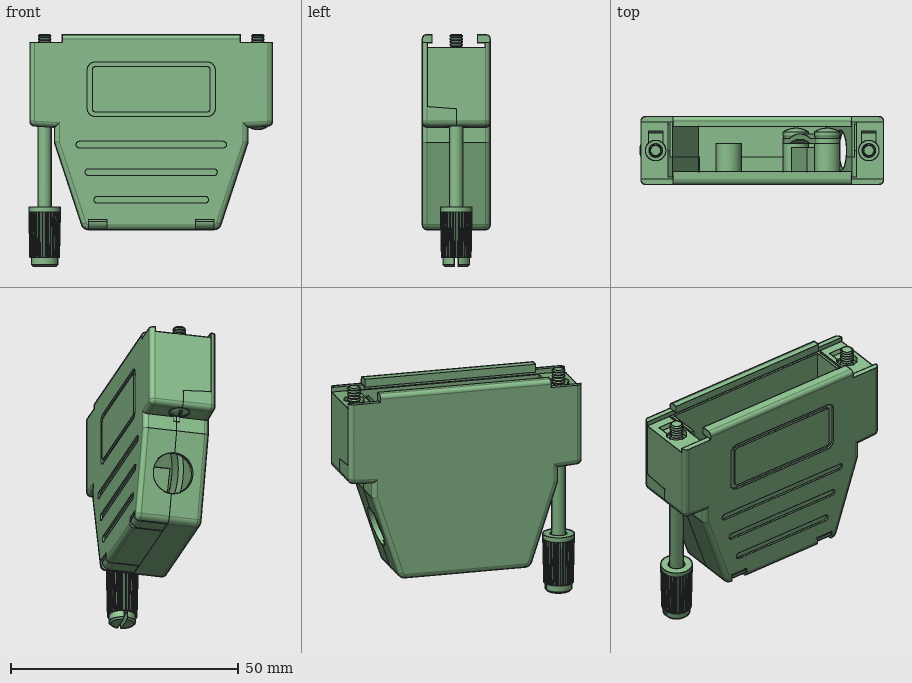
import cadquery as cq
import math


DEPTH = 15.0
FACE_Y = DEPTH / 2
WING_X = 26.75
WING_OUTER_Z = 22.9
WING_INNER_Z = 22.55
NECK_X = 21.3
NECK_Z = 19.2
BASE_X = 15.0
WALL_TOP_Z = 41.25
WING_CORNER_R = 1.2
BASE_CORNER_R = 1.7
RIM_R = 1.1

LIP_TOP_Z = 42.95
LIP_BOTTOM_Z = 41.15
LIP_X = 19.6
LIP_R = 0.95
FRONT_LIP_DEPTH = 2.85
BACK_LIP_DEPTH = 2.2
SEAT_Z = 40.15
SEAT_Y = 6.3

CAVITY_X = 19.75
CAVITY_NECK_Z = 18.8
CAVITY_BASE_X = 14.05
FLOOR_Z = 1.2
SIDE_SLOPE = (CAVITY_X - CAVITY_BASE_X) / (CAVITY_NECK_Z - FLOOR_Z)
CAVITY_Y = 5.8
MOUTH_X = 20.75
MOUTH_Z = 24.7
MOUTH_CHAMFER = MOUTH_X - CAVITY_X

PART_OUTER_Z = 27.1
PART_MIDDLE_Z = 26.65
TONGUE_T = 0.6
TONGUE_DEPTH = 1.4

GROOVE_DEPTH = 0.5
LABEL_Z = 30.95
LABEL_W, LABEL_H, LABEL_R = 28.25, 12.0, 1.75
PANEL_W, PANEL_H, PANEL_R = 25.9, 10.0, 0.65
GRIP_LENGTHS = (33.1, 29.1, 25.25)
GRIP_TOP_Z = 18.75
GRIP_PITCH = 6.05
GRIP_H = 1.5

LATCH_X = 11.75
LATCH_W = 4.05
LATCH_WINDOW_Z = 2.25
LATCH_TOP_Z = 1.8
LATCH_BOTTOM_Z = 0.15
LATCH_FRONT_GAP = 0.25
LATCH_T = 0.9
LATCH_FRONT_Y = LATCH_FRONT_GAP - FACE_Y
LATCH_BACK_Y = LATCH_FRONT_Y + LATCH_T
LATCH_R = 1.6

SCREW_X = 23.45
ROD_R = 1.5
THREAD_R = 1.4
THREAD_ROOT_R = 1.15
THREAD_PITCH = 0.65
THREAD_TURNS = 5
SCREW_TOP_Z = LIP_TOP_Z
COUNTERBORE_R = 2.25
TOP_BORE_DEPTH = 1.35
LOWER_BORE_TOP_Z = 24.15
KEY_W = 3.2
KEY_Y = 4.25
KEY_DEPTH = 0.8
KEY_SLANT = 0.45
HEAD_RIM_Z = 22.9
HEAD_TIP_Z = 22.0
HEAD_SLOT_W = 0.55
HEAD_SLOT_DEPTH = 0.55

KNOB_TOP_Z = 5.05
KNOB_COLLAR_Z = 3.9
KNOB_KNURL_Z = -6.1
KNOB_BOTTOM_Z = -8.05
KNOB_R = 3.5
KNURL_END_R = 3.3
STUD_R = 2.95
STUD_CHAMFER = 0.45
KNOB_BORE_Z = 0.0
KNOB_RECESS_R = 1.8
KNOB_RECESS_DEPTH = 0.8
KNOB_SLOT_W = 0.8
KNURL_COUNT = 32
KNURL_DEPTH = 0.25
KNURL_W = 0.3

CABLE_X, CABLE_Z = 17.0, 10.75
CABLE_R = 4.5
CABLE_REACH = 3.75
BOSS_R = 2.8
BOSS_TOP_Y = 1.5
LOW_BOSS = (7.4, 4.65)
HIGH_BOSS = (14.3, 20.8)
SPARE_BOSS = (-LOW_BOSS[0], LOW_BOSS[1])
CLAMP_DX = HIGH_BOSS[0] - LOW_BOSS[0]
CLAMP_DZ = HIGH_BOSS[1] - LOW_BOSS[1]
CLAMP_SPAN = math.hypot(CLAMP_DX, CLAMP_DZ)
CLAMP_ANGLE = math.degrees(math.atan2(CLAMP_DZ, CLAMP_DX))
CLAMP_MIDDLE = ((LOW_BOSS[0] + HIGH_BOSS[0]) / 2, (LOW_BOSS[1] + HIGH_BOSS[1]) / 2)
RIB_END = 1.8
RIB_W = 3.75
RIB_TOP_Y = 0.7
STRAP_T = 1.2
STRAP_W = 2 * BOSS_R
ARCH_HALF = 5.9
ARCH_RISE = 0.95
CLAMP_SHANK_R = 1.15
CLAMP_TIP_Y = -1.6
CLAMP_CONE = 2.15
CLAMP_BEVEL_W = 0.15
CLAMP_BEVEL_H = 0.55
CLAMP_RIM_H = 1.4
CLAMP_HEAD_H = 2.25


def prism(points, y_low, y_high):
    """Extrude an XZ polygon between two Y planes."""
    return cq.Workplane("XZ", origin=(0, y_high, 0)).polyline(points).close().extrude(y_high - y_low)


def block(x, y, z):
    """Box from the ranges it covers along X, Y and Z."""
    return (
        cq.Workplane("XY")
        .box(x[1] - x[0], y[1] - y[0], z[1] - z[0], centered=False)
        .translate((x[0], y[0], z[0]))
    )


def post(x, z, radius, y_low, y_high):
    """Cylinder along Y."""
    return cq.Workplane("XZ", origin=(x, y_high, z)).circle(radius).extrude(y_high - y_low)


def upright(x, radius, z_low, z_high):
    """Cylinder along Z on the middle plane."""
    return cq.Workplane("XY", origin=(x, 0, z_low)).circle(radius).extrude(z_high - z_low)


def mirrored(half):
    """Close an outline given by its +X half, listed from top to bottom."""
    return half + [(-x, z) for x, z in reversed(half)]


def hood_blank():
    """Solid hood with rounded rims, its lips and the flange slot."""
    spare_top_z = LIP_TOP_Z + RIM_R
    outline = mirrored([
        (WING_X, spare_top_z),
        (WING_X, WING_OUTER_Z),
        (NECK_X, WING_INNER_Z),
        (NECK_X, NECK_Z),
        (BASE_X, 0),
    ])
    body = prism(outline, -FACE_Y, FACE_Y)
    for x, z, radius in ((WING_X, WING_OUTER_Z, WING_CORNER_R), (BASE_X, 0, BASE_CORNER_R)):
        for side in (-1, 1):
            near = cq.selectors.NearestToPointSelector((side * x, 0, z))
            body = body.edges("|Y").edges(near).fillet(radius)
    body = body.faces("<Y or >Y").edges("not(>Z)").fillet(RIM_R)
    body = body.intersect(block((-WING_X, WING_X), (-FACE_Y, FACE_Y), (0, WALL_TOP_Z)))
    body = body.cut(block((-WING_X, WING_X), (-SEAT_Y, SEAT_Y), (SEAT_Z, WALL_TOP_Z)))
    for side, depth in ((-1, FRONT_LIP_DEPTH), (1, BACK_LIP_DEPTH)):
        y_range = sorted((side * FACE_Y, side * (FACE_Y - depth)))
        lip = block((-LIP_X, LIP_X), y_range, (LIP_BOTTOM_Z, LIP_TOP_Z))
        lip = lip.edges("|X and >Z").edges("<Y" if side < 0 else ">Y").fillet(LIP_R)
        body = body.union(lip)
    return body


def cavity_outline(growth=0.0):
    """Cavity outline, optionally enlarged by the tongue thickness."""
    return mirrored([
        (CAVITY_X + growth, SEAT_Z),
        (CAVITY_X + growth, CAVITY_NECK_Z),
        (CAVITY_BASE_X + growth * (1 - SIDE_SLOPE), FLOOR_Z - growth),
    ])


def front_zone():
    """Space of the front half: everything before the middle plane, plus the wing blocks."""
    zone = block((-WING_X, WING_X), (-FACE_Y, 0), (0, LIP_TOP_Z))
    wing_profile = [(0, PART_MIDDLE_Z), (SEAT_Y, PART_OUTER_Z), (SEAT_Y, SEAT_Z), (0, SEAT_Z)]
    for start_x in (-WING_X, MOUTH_X):
        wing = cq.Workplane("YZ", origin=(start_x, 0, 0)).polyline(wing_profile).close()
        zone = zone.union(wing.extrude(WING_X - MOUTH_X))
    return zone


def mouth():
    """Wider part of the front half's cavity, between the wing blocks."""
    outline = mirrored([
        (MOUTH_X, SEAT_Z),
        (MOUTH_X, MOUTH_Z),
        (CAVITY_X, MOUTH_Z - MOUTH_CHAMFER),
    ])
    return prism(outline, -CAVITY_Y, 0)


def face_plane(z):
    """Sketch plane on the front face at height z; extruding a negative length goes inwards."""
    return cq.Workplane("XZ", origin=(0, -FACE_Y, z))


def label_groove():
    """Groove that frames the flat label panel."""
    frame = face_plane(LABEL_Z).rect(LABEL_W, LABEL_H).extrude(-GROOVE_DEPTH).edges("|Y").fillet(LABEL_R)
    panel = face_plane(LABEL_Z).rect(PANEL_W, PANEL_H).extrude(-GROOVE_DEPTH).edges("|Y").fillet(PANEL_R)
    return frame.cut(panel)


def grip_slots():
    """Round-ended finger grip slots."""
    slots = cq.Workplane("XY")
    for row, length in enumerate(GRIP_LENGTHS):
        z = GRIP_TOP_Z - row * GRIP_PITCH
        slots = slots.add(face_plane(z).slot2D(length, GRIP_H).extrude(-GROOVE_DEPTH))
    return slots.combine()


def latch_range(side):
    """X range of the latch on one side."""
    return side * LATCH_X - LATCH_W / 2, side * LATCH_X + LATCH_W / 2


def latch_window(side):
    """Opening in the bottom edge of the front half for a latch."""
    slot = block(latch_range(side), (-FACE_Y, 0), (0, FLOOR_Z))
    return slot.union(block(latch_range(side), (-FACE_Y, LATCH_BACK_Y), (0, LATCH_WINDOW_Z)))


def latch(side):
    """Hook of the back half that wraps under the front half."""
    arm = block(latch_range(side), (LATCH_FRONT_Y, 0), (LATCH_BOTTOM_Z, FLOOR_Z))
    hook = block(latch_range(side), (LATCH_FRONT_Y, LATCH_BACK_Y), (LATCH_BOTTOM_Z, LATCH_TOP_Z))
    return arm.union(hook).edges("|X").edges("<Z").edges("<Y").fillet(LATCH_R)


def screw_bores(side):
    """Bore, counterbores and key notch for a jack screw."""
    x = side * SCREW_X
    bores = upright(x, ROD_R, 0, SEAT_Z)
    bores = bores.union(upright(x, COUNTERBORE_R, SEAT_Z - TOP_BORE_DEPTH, SEAT_Z))
    bores = bores.union(upright(x, COUNTERBORE_R, WING_INNER_Z - RIM_R, LOWER_BORE_TOP_Z))
    key_floor_z = SEAT_Z - KEY_DEPTH
    key_profile = [(0, SEAT_Z), (KEY_Y, SEAT_Z), (KEY_Y - KEY_SLANT, key_floor_z), (0, key_floor_z)]
    key = cq.Workplane("YZ", origin=(x - KEY_W / 2, 0, 0)).polyline(key_profile).close().extrude(KEY_W)
    return bores.union(key)


def cable_bore():
    """Round cable entry, square to the sloped side wall."""
    wall_angle = math.atan(SIDE_SLOPE)
    axis = cq.Vector(math.cos(wall_angle), 0, -math.sin(wall_angle))
    start = cq.Vector(CABLE_X, 0, CABLE_Z) - axis * CABLE_REACH
    return cq.Workplane(cq.Solid.makeCylinder(CABLE_R, 2 * CABLE_REACH, start, axis))


def along_clamp(shape):
    """Move a shape drawn along X at the origin to the line between the two clamp bosses."""
    turned = shape.rotate((0, 0, 0), (0, 1, 0), -CLAMP_ANGLE)
    return turned.translate((CLAMP_MIDDLE[0], 0, CLAMP_MIDDLE[1]))


def dome_arc(radius, rim, tip):
    """Halfway point and end of a domed profile that runs from (radius, rim) to (0, tip)."""
    height = tip - rim
    sphere_r = (radius ** 2 + height ** 2) / (2 * abs(height))
    half_angle = math.asin(radius / sphere_r) / 2
    drop = sphere_r * (1 - math.cos(half_angle))
    middle = (sphere_r * math.sin(half_angle), tip - math.copysign(drop, height))
    return middle, (0, tip)


def clamp_screw(x, z):
    """Pointed screw with a domed head that holds one end of the strap."""
    seat_y = BOSS_TOP_Y + STRAP_T
    profile = (
        cq.Workplane("XY")
        .moveTo(0, CLAMP_TIP_Y)
        .lineTo(CLAMP_SHANK_R, CLAMP_TIP_Y + CLAMP_CONE)
        .lineTo(CLAMP_SHANK_R, seat_y)
        .lineTo(BOSS_R - CLAMP_BEVEL_W, seat_y)
        .lineTo(BOSS_R, seat_y + CLAMP_BEVEL_H)
        .lineTo(BOSS_R, seat_y + CLAMP_RIM_H)
        .threePointArc(*dome_arc(BOSS_R, seat_y + CLAMP_RIM_H, seat_y + CLAMP_HEAD_H))
        .close()
    )
    return profile.revolve(360, (0, 0, 0), (0, 1, 0)).translate((x, 0, z))


def clamp_strap():
    """Arched strap over the cable, with a round eye at each end."""
    low, high = BOSS_TOP_Y, BOSS_TOP_Y + STRAP_T
    end = CLAMP_SPAN / 2
    side_view = (
        cq.Workplane("XY", origin=(0, 0, -STRAP_W / 2))
        .moveTo(-end, low)
        .lineTo(-ARCH_HALF, low)
        .threePointArc((0, low + ARCH_RISE), (ARCH_HALF, low))
        .lineTo(end, low)
        .lineTo(end, high)
        .lineTo(ARCH_HALF, high)
        .threePointArc((0, high + ARCH_RISE), (-ARCH_HALF, high))
        .lineTo(-end, high)
        .close()
    )
    strap = along_clamp(side_view.extrude(STRAP_W))
    for x, z in (LOW_BOSS, HIGH_BOSS):
        strap = strap.union(post(x, z, BOSS_R, low, high))
    for x, z in (LOW_BOSS, HIGH_BOSS):
        strap = strap.cut(clamp_screw(x, z))
    return strap


def front_shell():
    """Front half with the wing blocks, the bosses and the clamp rib."""
    shell = hood_blank().intersect(front_zone())
    shell = shell.cut(prism(cavity_outline(), -CAVITY_Y, 0))
    shell = shell.cut(mouth()).cut(prism(cavity_outline(TONGUE_T), -TONGUE_DEPTH, 0))
    shell = shell.cut(label_groove()).cut(grip_slots())
    rib = block((-CLAMP_SPAN / 2, RIB_END), (-CAVITY_Y, RIB_TOP_Y), (-RIB_W / 2, RIB_W / 2))
    shell = shell.union(along_clamp(rib))
    for x, z in (LOW_BOSS, HIGH_BOSS, SPARE_BOSS):
        shell = shell.union(post(x, z, BOSS_R, -CAVITY_Y, BOSS_TOP_Y))
    for x, z in (LOW_BOSS, HIGH_BOSS):
        shell = shell.cut(clamp_screw(x, z))
    for side in (-1, 1):
        shell = shell.cut(screw_bores(side)).cut(latch_window(side))
    return shell.cut(cable_bore())


def back_shell():
    """Back half with the sliding tongue, a gap beside each wing block and the latches."""
    shell = hood_blank().cut(front_zone()).cut(prism(cavity_outline(), 0, CAVITY_Y))
    tongue = prism(cavity_outline(TONGUE_T), -TONGUE_DEPTH, 0)
    shell = shell.union(tongue.cut(prism(cavity_outline(), -TONGUE_DEPTH, 0)))
    for side in (-1, 1):
        gap_x = sorted((side * (CAVITY_X + TONGUE_T), side * MOUTH_X))
        shell = shell.cut(block(gap_x, (0, CAVITY_Y), (MOUTH_Z, SEAT_Z)))
        shell = shell.union(latch(side)).cut(screw_bores(side))
    return shell.cut(cable_bore())


def threaded_shank(z_low):
    """Jack screw shank on the Z axis, from z_low up to the ringed thread at its top."""
    thread_z = SCREW_TOP_Z - THREAD_TURNS * THREAD_PITCH
    points = [(0, z_low), (ROD_R, z_low), (ROD_R, thread_z - THREAD_PITCH)]
    for turn in range(THREAD_TURNS):
        z = thread_z + turn * THREAD_PITCH
        points += [(THREAD_ROOT_R, z), (THREAD_R, z + THREAD_PITCH / 2)]
    points += [(THREAD_ROOT_R, SCREW_TOP_Z), (0, SCREW_TOP_Z)]
    return cq.Workplane("XZ").polyline(points).close().revolve(360, (0, 0, 0), (0, 1, 0))


def long_jack_screw():
    """Plain rod that reaches down into the knob."""
    return threaded_shank(KNOB_BORE_Z).translate((-SCREW_X, 0, 0))


def short_jack_screw():
    """Screw with a slotted domed head under the wing."""
    head = (
        cq.Workplane("XZ")
        .moveTo(0, LOWER_BORE_TOP_Z)
        .lineTo(COUNTERBORE_R, LOWER_BORE_TOP_Z)
        .lineTo(COUNTERBORE_R, HEAD_RIM_Z)
        .threePointArc(*dome_arc(COUNTERBORE_R, HEAD_RIM_Z, HEAD_TIP_Z))
        .close()
        .revolve(360, (0, 0, 0), (0, 1, 0))
    )
    slot = block(
        (-COUNTERBORE_R, COUNTERBORE_R),
        (-HEAD_SLOT_W / 2, HEAD_SLOT_W / 2),
        (HEAD_TIP_Z - HEAD_SLOT_DEPTH, HEAD_TIP_Z + HEAD_SLOT_DEPTH),
    )
    return threaded_shank(LOWER_BORE_TOP_Z).union(head).cut(slot).translate((SCREW_X, 0, 0))


def knob():
    """Knurled, tapered thumb knob with a screwdriver slot in its lower end."""
    profile = [
        (0, KNOB_BOTTOM_Z),
        (STUD_R - STUD_CHAMFER, KNOB_BOTTOM_Z),
        (STUD_R, KNOB_BOTTOM_Z + STUD_CHAMFER),
        (STUD_R, KNOB_KNURL_Z),
        (KNURL_END_R, KNOB_KNURL_Z),
        (KNOB_R, KNOB_COLLAR_Z),
        (KNOB_R, KNOB_TOP_Z),
        (0, KNOB_TOP_Z),
    ]
    body = cq.Workplane("XZ").polyline(profile).close().revolve(360, (0, 0, 0), (0, 1, 0))
    grooves = (
        cq.Workplane("XY", origin=(0, 0, KNOB_KNURL_Z))
        .polarArray(KNOB_R, 0, 360, KNURL_COUNT)
        .rect(2 * (KNOB_R - KNURL_END_R + KNURL_DEPTH), KNURL_W)
        .extrude(KNOB_COLLAR_Z - KNOB_KNURL_Z)
    )
    slot = block((-STUD_R, STUD_R), (-KNOB_SLOT_W / 2, KNOB_SLOT_W / 2), (KNOB_BOTTOM_Z, KNOB_KNURL_Z))
    body = body.cut(grooves).cut(slot).cut(upright(0, ROD_R, KNOB_BORE_Z, KNOB_TOP_Z))
    body = body.cut(upright(0, KNOB_RECESS_R, KNOB_TOP_Z - KNOB_RECESS_DEPTH, KNOB_TOP_Z))
    return body.translate((-SCREW_X, 0, 0))


clamp_screws = [clamp_screw(x, z) for x, z in (LOW_BOSS, HIGH_BOSS)]

result = cq.Compound.makeCompound([
    front_shell().val(),
    back_shell().val(),
    long_jack_screw().val(),
    short_jack_screw().val(),
    knob().val(),
    clamp_strap().val(),
    *[screw.val() for screw in clamp_screws],
])